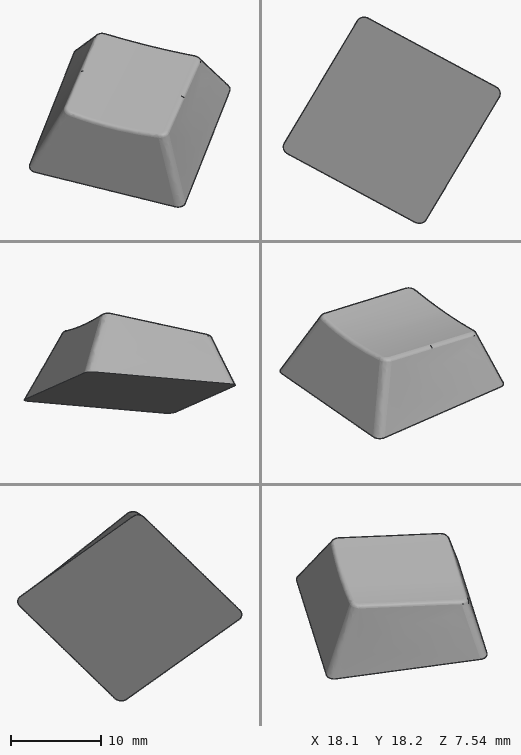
import cadquery as cq
import math

base_width = 18.1
base_depth = 18.2

top_width = 11.9
top_depth = 13.16
top_offset_y = 0.93
top_height = 6.86
top_tilt = 7.0

dish_radius = 42.0
dish_length = 2 * base_depth

corner_radius = 1.0
rim_radius = 0.5


def top_plane():
    """Tilted plane of the top rim; its local Y axis follows the slope."""
    tilt = math.radians(top_tilt)
    return cq.Plane(
        origin=(0, top_offset_y, top_height),
        xDir=(1, 0, 0),
        normal=(0, math.sin(tilt), math.cos(tilt)),
    )


def tapered_body():
    """Straight-sided body between the flat base and the tilted top rim, with rounded corners."""
    base = cq.Workplane("XY").rect(base_width, base_depth).val()
    top = cq.Workplane(top_plane()).rect(top_width, top_depth).val()
    frustum = cq.Workplane(cq.Solid.makeLoft([base, top], True))
    along_slope = cq.selectors.ParallelDirSelector(top_plane().yDir)
    side_corners = frustum.edges("not(|X or |Y)").edges(-along_slope)
    return side_corners.fillet(corner_radius)


def dish_cutter():
    """Cylinder along the slope that meets the top plane at its two long sides."""
    axis_height = math.sqrt(dish_radius**2 - (top_width / 2) ** 2)
    plane = top_plane()
    start = plane.toWorldCoords((0, -dish_length / 2, axis_height))
    return cq.Workplane(cq.Solid.makeCylinder(dish_radius, dish_length, start, plane.yDir))


body = tapered_body().cut(dish_cutter())
result = body.faces("%CYLINDER").edges().fillet(rim_radius)